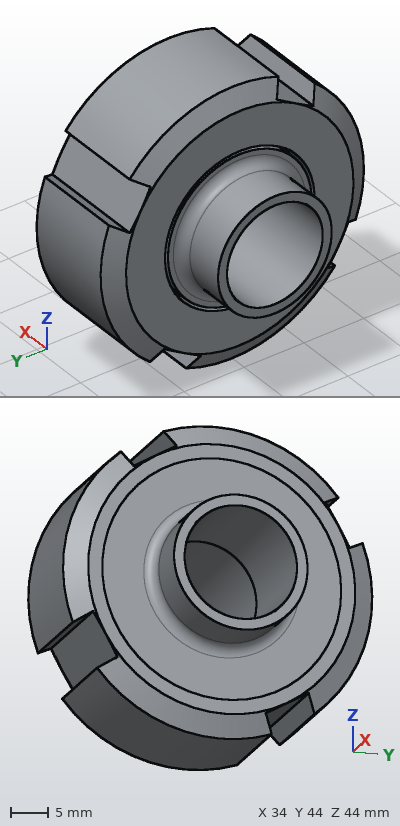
import cadquery as cq


union_length = 34.0
nut_length = 18.0
nut_start = (union_length - nut_length) / 2
nut_end = nut_start + nut_length
joint_x = union_length / 2

bore_diameter = 16.0
pipe_diameter = 19.0
root_fillet = 1.6

collar_diameter = 24.0

nut_diameter = 44.0
nut_face_diameter = 38.0
chamfer_length = 1.7
nut_hole_diameter = 25.0
thread_diameter = 34.0
nut_wall = 4.0

slot_count = 4
slot_width = 7.0
slot_floor_radius = nut_face_diameter / 2
first_slot_angle = 29.6


def cylinder(diameter, start, end):
    """Solid cylinder on the X axis between two X positions."""
    return cq.Workplane("YZ").workplane(offset=start).circle(diameter / 2).extrude(end - start)


def make_nut():
    face_radius = nut_face_diameter / 2
    outer_radius = nut_diameter / 2
    nut = (
        cq.Workplane("XY")
        .moveTo(nut_start, 0)
        .lineTo(nut_start, face_radius)
        .lineTo(nut_start + chamfer_length, outer_radius)
        .lineTo(nut_end - chamfer_length, outer_radius)
        .lineTo(nut_end, face_radius)
        .lineTo(nut_end, 0)
        .close()
        .revolve(360, (0, 0, 0), (1, 0, 0))
    )
    nut = nut.cut(cylinder(nut_hole_diameter, nut_start, nut_end))
    nut = nut.cut(cylinder(thread_diameter, nut_start + nut_wall, nut_end))

    slot = (
        cq.Workplane("XY")
        .box(nut_length, slot_width, outer_radius, centered=(False, True, False))
        .translate((nut_start, 0, slot_floor_radius))
    )
    for index in range(slot_count):
        angle = first_slot_angle + index * 360 / slot_count
        nut = nut.cut(slot.rotate((0, 0, 0), (1, 0, 0), angle))
    return nut


def pipe_with_shoulder(shoulder_x, shoulder_diameter):
    """Weld end up to the joint: pipe from X = 0, fillet, then a shoulder at shoulder_x."""
    pipe_radius = pipe_diameter / 2
    return (
        cq.Workplane("XY")
        .moveTo(0, 0)
        .lineTo(0, pipe_radius)
        .lineTo(shoulder_x - root_fillet, pipe_radius)
        .radiusArc((shoulder_x, pipe_radius + root_fillet), -root_fillet)
        .lineTo(shoulder_x, shoulder_diameter / 2)
        .lineTo(joint_x, shoulder_diameter / 2)
        .lineTo(joint_x, 0)
        .close()
        .revolve(360, (0, 0, 0), (1, 0, 0))
        .cut(cylinder(bore_diameter, 0, joint_x))
    )


def make_liner():
    collar = pipe_with_shoulder(nut_start, collar_diameter)
    head = cylinder(thread_diameter, nut_start + nut_wall, joint_x)
    head = head.cut(cylinder(bore_diameter, nut_start + nut_wall, joint_x))
    return collar.union(head)


def make_male_end():
    """Threaded weld end, filling the open end of the nut flush with its face."""
    return pipe_with_shoulder(nut_start, thread_diameter).mirror("YZ", (joint_x, 0, 0))


nut = make_nut()
liner = make_liner()
male_end = make_male_end()

bodies = [nut, liner, male_end]
result = cq.Compound.makeCompound([body.solids().val() for body in bodies])